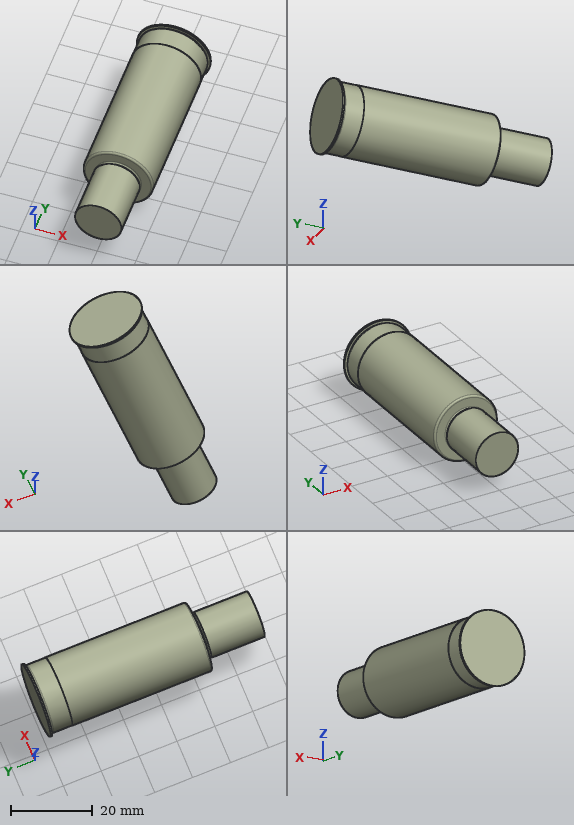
import cadquery as cq
import math

length = 58.0
flange_radius = 19.0 / 2
body_radius = 18.0 / 2
cap_radius = 17.85 / 2
pin_radius = 12.0 / 2

pin_length = 15.0
flange_thickness = 0.45
body_rounding = 0.5
cap_length = 5.5

undercut_depth = 0.45
undercut_fillet = 0.45
undercut_length = undercut_fillet + undercut_depth

flange_end = length - pin_length
body_end = flange_end - flange_thickness
neck_radius = pin_radius - undercut_depth
cap_start = body_end - cap_length

arc_inset = 1 - math.sqrt(0.5)
fillet_inset = undercut_fillet * arc_inset
rounding_inset = body_rounding * arc_inset

half_section = (
    cq.Workplane("XY")
    .moveTo(0, -pin_length)
    .lineTo(pin_radius, -pin_length)
    .lineTo(pin_radius, -undercut_length)
    .lineTo(neck_radius, -undercut_fillet)
    .threePointArc(
        (neck_radius + fillet_inset, -fillet_inset),
        (neck_radius + undercut_fillet, 0),
    )
    .lineTo(body_radius - body_rounding, 0)
    .threePointArc(
        (body_radius - rounding_inset, rounding_inset),
        (body_radius, body_rounding),
    )
    .lineTo(body_radius, cap_start)
    .lineTo(cap_radius, cap_start)
    .lineTo(cap_radius, body_end - body_rounding)
    .threePointArc(
        (cap_radius - rounding_inset, body_end - rounding_inset),
        (cap_radius - body_rounding, body_end),
    )
    .lineTo(flange_radius, body_end)
    .lineTo(flange_radius, flange_end)
    .lineTo(0, flange_end)
    .close()
)

result = half_section.revolve(360, (0, 0, 0), (0, 1, 0))